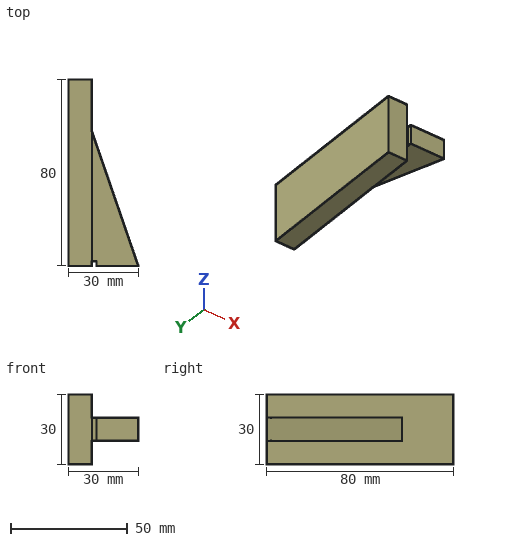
import cadquery as cq

plate_thickness = 10.0
plate_length = 80.0
plate_height = 30.0

rib_reach = 20.0
rib_length = 58.0
rib_thickness = 10.0

notch_size = 2.0


def make_plate():
    return cq.Workplane("XY").box(plate_thickness, plate_length, plate_height, centered=False)


def make_rib():
    rib_bottom = (plate_height - rib_thickness) / 2
    notch_edge = plate_thickness + notch_size
    return (
        cq.Workplane("XY")
        .workplane(offset=rib_bottom)
        .moveTo(plate_thickness, notch_size)
        .lineTo(notch_edge, notch_size)
        .lineTo(notch_edge, 0)
        .lineTo(plate_thickness + rib_reach, 0)
        .lineTo(plate_thickness, rib_length)
        .close()
        .extrude(rib_thickness)
    )


result = make_plate().union(make_rib())